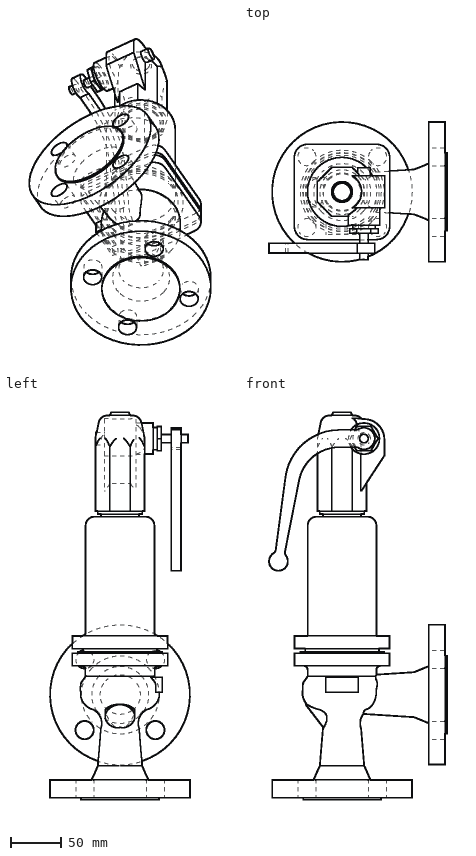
import cadquery as cq
import math

OUTLET_AXIS_Z = 105.0
OUTLET_FACE_X = 105.0

FLANGE_RADIUS = 70.0
RAISED_FACE_RADIUS = 39.0
RAISED_FACE_HEIGHT = 2.0
INLET_FLANGE_THICKNESS = 18.0
OUTLET_FLANGE_THICKNESS = 16.5
BOLT_CIRCLE_DIAMETER = 100.0
BOLT_HOLE_DIAMETER = 18.0
BOLT_COUNT = 4
FIRST_BOLT_ANGLE = 45.0

NECK_ROOT_RADIUS = 28.5
INLET_KNEE_RADIUS = 22.3
INLET_KNEE_Z = 34.0
INLET_NECK_TOP_Z = 71.0
INLET_NECK_TOP_RADIUS = 19.2
INLET_WAIST_Z = 79.5
INLET_WAIST_RADIUS = 18.6
OUTLET_KNEE_X = 72.0
OUTLET_KNEE_RADIUS = 22.6
OUTLET_NECK_START_X = 10.0
OUTLET_NECK_START_RADIUS = 18.6

BOWL_BOTTOM_Z = 90.0
BOWL_BOTTOM_RADIUS = 26.5
BOWL_RADIUS = 39.5
BOWL_LOWER_Z = 104.5
BOWL_CURVE_RADIUS = 34.5
BOWL_CURVE_Z = 94.5
BOWL_UPPER_Z = 113.0
BOWL_SHOULDER_Z = 120.5
BOWL_SHOULDER_RADIUS = 36.3
THROAT_Z = 123.5
THROAT_RADIUS = 34.5
THROAT_FLARE_Z = 129.7
THROAT_FLARE_RADIUS = 38.5

PLATE_WIDTH = 95.2
PLATE_CORNER_RADIUS = 13.0
PLATE_THICKNESS = 12.8
LOWER_PLATE_Z = 133.8
UPPER_PLATE_Z = 151.0
GASKET_RADIUS = 42.0
GASKET_THICKNESS = 1.2
SPIGOT_RADIUS = 37.0

BONNET_RADIUS = 34.5
BONNET_TOP_Z = 283.0
BONNET_FILLET = 9.0

CAP_ACROSS_FLATS = 49.0
CAP_BOTTOM_Z = 288.6
CAP_COLLAR_Z = 285.6
CAP_COLLAR_RADIUS = 22.4
CAP_COLLAR_WAIST_RADIUS = 19.2
CAP_SIDES = 8
DOME_BASE_Z = 377.0
DOME_BASE_RADIUS = 21.4
DOME_TOP_Z = 384.2
CONE_ANGLE = 12.0
PLUG_TOP_Z = 387.5
PLUG_BASE_RADIUS = 10.4
PLUG_TOP_RADIUS = 8.7

SHAFT_X = 21.9
SHAFT_Z = 361.0
HOUSING_RADIUS = 20.6
HOUSING_CENTER_Z = 360.0
HOUSING_TOP_SLOPE = 4.0
HOUSING_HALF_WIDTH = 15.9
HOUSING_STRAIGHT_Z = 344.0
HOUSING_TIP_X = 19.5
HOUSING_TIP_Z = 308.8
BOSS_RADIUS = 15.6
BOSS_END_Y = -33.2
COLLAR_RADIUS = 11.3
COLLAR_END_Y = -37.0
NUT_ACROSS_FLATS = 24.4
NUT_SIDES = 6
NUT_END_Y = -41.4
SHAFT_RADIUS = 4.3
SHAFT_END_Y = -68.0
STUB_RADIUS = 6.2
STUB_END_Y = 24.3

LEVER_FRONT_Y = -61.2
LEVER_BACK_Y = -51.1
LEVER_EYE_RADIUS = 10.8
LEVER_ARM_WIDTH = 17.3
LEVER_BEND_X = -2.7
OUTER_BEND_RADIUS = 54.4
INNER_BEND_RADIUS = 40.8
OUTER_TAIL_ANGLE = 7.6
INNER_TAIL_ANGLE = 11.2
KNOB_RADIUS = 9.5
KNOB_X = -63.53
KNOB_Z = 238.3
KNOB_BLEND_RADIUS = 5.0

DRAIN_RADIUS = 14.8
DRAIN_ANGLE = 37.5
DRAIN_FACE_X = -27.2
DRAIN_FACE_Z = 83.2
DRAIN_LENGTH = 22.0
NAME_PLATE_WIDTH = 32.8
NAME_PLATE_BOTTOM_Z = 107.4
NAME_PLATE_TOP_Z = 122.6
NAME_PLATE_FACE_Y = -42.3


def revolve_z(outline):
    """Close a radius-height outline on the Z axis and revolve it."""
    return outline.close().revolve(360, (0, 0, 0), (0, 1, 0))


def make_flange(thickness):
    """Flange with its raised face on Z = 0 and the back face upwards."""
    disc = cq.Workplane("XY", origin=(0, 0, RAISED_FACE_HEIGHT)).circle(FLANGE_RADIUS).extrude(thickness)
    holes = (
        cq.Workplane("XY")
        .polarArray(BOLT_CIRCLE_DIAMETER / 2, FIRST_BOLT_ANGLE, 360, BOLT_COUNT)
        .circle(BOLT_HOLE_DIAMETER / 2)
        .extrude(RAISED_FACE_HEIGHT + thickness)
    )
    raised_face = cq.Workplane("XY").circle(RAISED_FACE_RADIUS).extrude(RAISED_FACE_HEIGHT)
    return disc.cut(holes).union(raised_face)


def make_body():
    """Inlet neck, bowl and throat in one revolved shape."""
    outline = (
        cq.Workplane("XZ")
        .moveTo(0, RAISED_FACE_HEIGHT)
        .lineTo(NECK_ROOT_RADIUS, RAISED_FACE_HEIGHT)
        .lineTo(NECK_ROOT_RADIUS, RAISED_FACE_HEIGHT + INLET_FLANGE_THICKNESS)
        .lineTo(INLET_KNEE_RADIUS, INLET_KNEE_Z)
        .lineTo(INLET_NECK_TOP_RADIUS, INLET_NECK_TOP_Z)
        .threePointArc((INLET_WAIST_RADIUS, INLET_WAIST_Z), (BOWL_BOTTOM_RADIUS, BOWL_BOTTOM_Z))
        .threePointArc((BOWL_CURVE_RADIUS, BOWL_CURVE_Z), (BOWL_RADIUS, BOWL_LOWER_Z))
        .lineTo(BOWL_RADIUS, BOWL_UPPER_Z)
        .tangentArcPoint((BOWL_SHOULDER_RADIUS, BOWL_SHOULDER_Z), relative=False)
        .lineTo(THROAT_RADIUS, THROAT_Z)
        .lineTo(THROAT_RADIUS, THROAT_FLARE_Z)
        .tangentArcPoint((THROAT_FLARE_RADIUS, LOWER_PLATE_Z), relative=False)
        .lineTo(0, LOWER_PLATE_Z)
    )
    return revolve_z(outline)


def make_outlet():
    """Tapered outlet neck with its flange."""
    flange = (
        make_flange(OUTLET_FLANGE_THICKNESS)
        .rotate((0, 0, 0), (0, 1, 0), -90)
        .translate((OUTLET_FACE_X, 0, OUTLET_AXIS_Z))
    )
    flange_back_x = OUTLET_FACE_X - RAISED_FACE_HEIGHT - OUTLET_FLANGE_THICKNESS
    neck = (
        cq.Workplane("XZ")
        .moveTo(OUTLET_NECK_START_X, 0)
        .lineTo(OUTLET_NECK_START_X, OUTLET_NECK_START_RADIUS)
        .lineTo(OUTLET_KNEE_X, OUTLET_KNEE_RADIUS)
        .lineTo(flange_back_x, NECK_ROOT_RADIUS)
        .lineTo(flange_back_x, 0)
        .close()
        .revolve(360, (0, 0, 0), (1, 0, 0))
        .translate((0, 0, OUTLET_AXIS_Z))
    )
    return neck.union(flange)


def make_drain_boss():
    """Short round boss sloping down on the side opposite the outlet."""
    angle = math.radians(DRAIN_ANGLE)
    inward = cq.Vector(math.cos(angle), 0, math.sin(angle))
    face = cq.Vector(DRAIN_FACE_X, 0, DRAIN_FACE_Z)
    return cq.Workplane(cq.Solid.makeCylinder(DRAIN_RADIUS, DRAIN_LENGTH, face, inward))


def make_name_plate():
    """Rectangular pad on the front of the bowl, reaching in to the body axis."""
    height = NAME_PLATE_TOP_Z - NAME_PLATE_BOTTOM_Z
    return (
        cq.Workplane("XY", origin=(0, NAME_PLATE_FACE_Y, NAME_PLATE_BOTTOM_Z))
        .box(NAME_PLATE_WIDTH, -NAME_PLATE_FACE_Y, height, centered=(True, False, False))
    )


def make_plate(bottom_z):
    """Square clamping plate with rounded corners."""
    return (
        cq.Workplane("XY", origin=(0, 0, bottom_z))
        .rect(PLATE_WIDTH, PLATE_WIDTH)
        .extrude(PLATE_THICKNESS)
        .edges("|Z")
        .fillet(PLATE_CORNER_RADIUS)
    )


def make_bonnet():
    """Gasket, spigot between the plates and round bonnet."""
    gasket_z = LOWER_PLATE_Z + PLATE_THICKNESS
    gasket = cq.Workplane("XY", origin=(0, 0, gasket_z)).circle(GASKET_RADIUS).extrude(GASKET_THICKNESS)
    spigot = cq.Workplane("XY", origin=(0, 0, gasket_z)).circle(SPIGOT_RADIUS).extrude(UPPER_PLATE_Z - gasket_z)
    bonnet = (
        cq.Workplane("XY", origin=(0, 0, UPPER_PLATE_Z))
        .circle(BONNET_RADIUS)
        .extrude(BONNET_TOP_Z - UPPER_PLATE_Z)
        .faces(">Z")
        .edges()
        .fillet(BONNET_FILLET)
    )
    return gasket.union(spigot).union(bonnet)


def make_cap():
    """Octagonal cap on a stepped collar, trimmed by a cone, with a domed top and a small plug."""
    corner_diameter = CAP_ACROSS_FLATS / math.cos(math.pi / CAP_SIDES)
    octagon = (
        cq.Workplane("XY", origin=(0, 0, CAP_BOTTOM_Z))
        .polygon(CAP_SIDES, corner_diameter)
        .extrude(DOME_TOP_Z - CAP_BOTTOM_Z)
        .rotate((0, 0, 0), (0, 0, 1), 180 / CAP_SIDES)
    )
    cone_angle = math.radians(CONE_ANGLE)
    cone_bottom_radius = DOME_BASE_RADIUS + math.tan(cone_angle) * (DOME_BASE_Z - CAP_BOTTOM_Z)
    dome_arc_radius = (DOME_TOP_Z - DOME_BASE_Z) / (1 - math.sin(cone_angle))
    dome_top_radius = DOME_BASE_RADIUS - dome_arc_radius * math.cos(cone_angle)
    envelope = revolve_z(
        cq.Workplane("XZ")
        .moveTo(0, CAP_BOTTOM_Z)
        .lineTo(cone_bottom_radius, CAP_BOTTOM_Z)
        .lineTo(DOME_BASE_RADIUS, DOME_BASE_Z)
        .tangentArcPoint((dome_top_radius, DOME_TOP_Z), relative=False)
        .lineTo(0, DOME_TOP_Z)
    )
    collar = revolve_z(
        cq.Workplane("XZ")
        .moveTo(0, BONNET_TOP_Z)
        .lineTo(CAP_COLLAR_WAIST_RADIUS, BONNET_TOP_Z)
        .lineTo(CAP_COLLAR_WAIST_RADIUS, CAP_COLLAR_Z)
        .lineTo(CAP_COLLAR_RADIUS, CAP_COLLAR_Z)
        .lineTo(CAP_COLLAR_RADIUS, CAP_BOTTOM_Z)
        .lineTo(0, CAP_BOTTOM_Z)
    )
    plug = revolve_z(
        cq.Workplane("XZ")
        .moveTo(0, DOME_TOP_Z)
        .lineTo(PLUG_BASE_RADIUS, DOME_TOP_Z)
        .lineTo(PLUG_TOP_RADIUS, PLUG_TOP_Z)
        .lineTo(0, PLUG_TOP_Z)
    )
    return octagon.intersect(envelope).union(collar).union(plug)


def shaft_plane(y):
    """XZ work plane centred on the lever shaft axis; its normal points to -Y."""
    return cq.Workplane("XZ", origin=(SHAFT_X, y, SHAFT_Z))


def make_lifting_gear():
    """Cam housing beside the cap, with shaft boss, collar, nut and shaft."""
    right_x = SHAFT_X + HOUSING_RADIUS
    slope = math.radians(HOUSING_TOP_SLOPE)
    arc_top_x = SHAFT_X + HOUSING_RADIUS * math.sin(slope)
    arc_top_z = HOUSING_CENTER_Z + HOUSING_RADIUS * math.cos(slope)
    housing = (
        cq.Workplane("XZ", origin=(0, HOUSING_HALF_WIDTH, 0))
        .moveTo(0, HOUSING_TIP_Z)
        .lineTo(HOUSING_TIP_X, HOUSING_TIP_Z)
        .lineTo(right_x, HOUSING_STRAIGHT_Z)
        .lineTo(right_x, HOUSING_CENTER_Z)
        .tangentArcPoint((arc_top_x, arc_top_z), relative=False)
        .lineTo(0, arc_top_z + arc_top_x * math.tan(slope))
        .close()
        .extrude(2 * HOUSING_HALF_WIDTH)
    )
    boss = shaft_plane(0).circle(BOSS_RADIUS).extrude(-BOSS_END_Y)
    collar = shaft_plane(BOSS_END_Y).circle(COLLAR_RADIUS).extrude(BOSS_END_Y - COLLAR_END_Y)
    nut_corner_diameter = NUT_ACROSS_FLATS / math.cos(math.pi / NUT_SIDES)
    nut = shaft_plane(COLLAR_END_Y).polygon(NUT_SIDES, nut_corner_diameter).extrude(COLLAR_END_Y - NUT_END_Y)
    shaft = shaft_plane(0).circle(SHAFT_RADIUS).extrude(-SHAFT_END_Y)
    stub = shaft_plane(STUB_END_Y).circle(STUB_RADIUS).extrude(STUB_END_Y)
    return housing.union(boss).union(collar).union(nut).union(shaft).union(stub)


def bend_point(radius, arm_edge_z, tail_angle, share=1.0):
    """Point on a lever bend, a given share of the way from the arm to the tail."""
    turn = math.radians((90 - tail_angle) * share)
    return (LEVER_BEND_X - radius * math.sin(turn), arm_edge_z - radius * (1 - math.cos(turn)))


def tail_end(start, tail_angle):
    """Point where a tail edge reaches the knob centre height."""
    return (start[0] - (start[1] - KNOB_Z) * math.tan(math.radians(tail_angle)), KNOB_Z)


def make_lever():
    """Flat lever: eye on the shaft, bent arm, tapering tail and round knob."""
    thickness = LEVER_BACK_Y - LEVER_FRONT_Y
    top_z = SHAFT_Z + LEVER_ARM_WIDTH / 2
    bottom_z = SHAFT_Z - LEVER_ARM_WIDTH / 2
    outer_mid = bend_point(OUTER_BEND_RADIUS, top_z, OUTER_TAIL_ANGLE, 0.5)
    outer_end = bend_point(OUTER_BEND_RADIUS, top_z, OUTER_TAIL_ANGLE)
    inner_mid = bend_point(INNER_BEND_RADIUS, bottom_z, INNER_TAIL_ANGLE, 0.5)
    inner_end = bend_point(INNER_BEND_RADIUS, bottom_z, INNER_TAIL_ANGLE)
    plane = cq.Workplane("XZ", origin=(0, LEVER_BACK_Y, 0))
    arm = (
        plane.moveTo(SHAFT_X, top_z)
        .lineTo(LEVER_BEND_X, top_z)
        .threePointArc(outer_mid, outer_end)
        .lineTo(*tail_end(outer_end, OUTER_TAIL_ANGLE))
        .lineTo(*tail_end(inner_end, INNER_TAIL_ANGLE))
        .lineTo(*inner_end)
        .threePointArc(inner_mid, (LEVER_BEND_X, bottom_z))
        .lineTo(SHAFT_X, bottom_z)
        .close()
        .extrude(thickness)
    )
    knob = plane.center(KNOB_X, KNOB_Z).circle(KNOB_RADIUS).extrude(thickness)
    knob_joint = cq.selectors.BoxSelector(
        (KNOB_X - KNOB_RADIUS, LEVER_FRONT_Y, KNOB_Z + KNOB_RADIUS / 2),
        (KNOB_X + KNOB_RADIUS, LEVER_BACK_Y, KNOB_Z + 2 * KNOB_RADIUS),
    )
    tail = arm.union(knob).edges("|Y").edges(knob_joint).fillet(KNOB_BLEND_RADIUS)
    eye = shaft_plane(LEVER_BACK_Y).circle(LEVER_EYE_RADIUS).extrude(thickness)
    return tail.union(eye)


result = (
    make_body()
    .union(make_flange(INLET_FLANGE_THICKNESS))
    .union(make_outlet())
    .union(make_drain_boss())
    .union(make_name_plate())
    .union(make_plate(LOWER_PLATE_Z))
    .union(make_plate(UPPER_PLATE_Z))
    .union(make_bonnet())
    .union(make_cap())
    .union(make_lifting_gear())
    .union(make_lever())
)